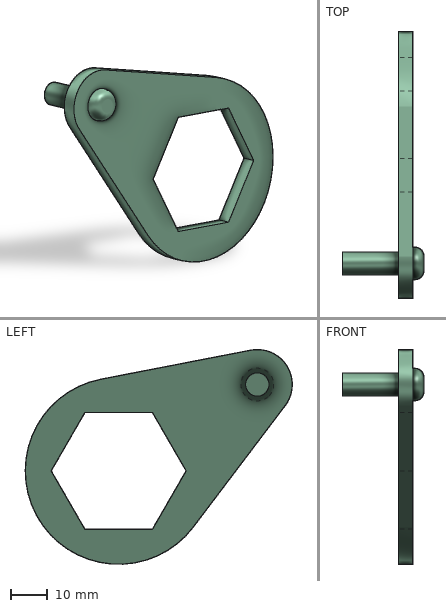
import cadquery as cq
import math

plate_thickness = 3.97
large_end_radius = 25.4
small_end_radius = 9.525
overall_y = 72.6
overall_z = 58.4
hex_across_flats = 31.7
hex_sides = 6

pin_diameter = 6.35
head_diameter = 8.89
head_height = 3.05
head_edge_radius = 2.54
overall_x = 22.23
pin_length = overall_x - plate_thickness - head_height

pin_y = -(overall_y - large_end_radius - small_end_radius)
pin_z = overall_z - large_end_radius - small_end_radius


def point_on_circle(center_y, center_z, radius, angle):
    return (center_y + radius * math.cos(angle), center_z + radius * math.sin(angle))


def make_plate():
    center_distance = math.hypot(pin_y, pin_z)
    axis_angle = math.atan2(pin_z, pin_y)
    tangent_angle = math.acos((large_end_radius - small_end_radius) / center_distance)
    start_angle = axis_angle - tangent_angle
    end_angle = axis_angle + tangent_angle
    outline = (
        cq.Workplane("YZ")
        .moveTo(*point_on_circle(0, 0, large_end_radius, start_angle))
        .lineTo(*point_on_circle(pin_y, pin_z, small_end_radius, start_angle))
        .threePointArc(
            point_on_circle(pin_y, pin_z, small_end_radius, axis_angle),
            point_on_circle(pin_y, pin_z, small_end_radius, end_angle),
        )
        .lineTo(*point_on_circle(0, 0, large_end_radius, end_angle))
        .threePointArc(
            point_on_circle(0, 0, large_end_radius, axis_angle + math.pi),
            point_on_circle(0, 0, large_end_radius, start_angle),
        )
        .close()
    )
    return outline.extrude(plate_thickness)


def make_hex_opening():
    across_corners = hex_across_flats / math.cos(math.pi / hex_sides)
    return cq.Workplane("YZ").polygon(hex_sides, across_corners).extrude(plate_thickness)


def make_pin():
    return (
        cq.Workplane("YZ", origin=(-pin_length, pin_y, pin_z))
        .circle(pin_diameter / 2)
        .extrude(pin_length + plate_thickness)
    )


def make_head():
    return (
        cq.Workplane("YZ", origin=(plate_thickness, pin_y, pin_z))
        .circle(head_diameter / 2)
        .extrude(head_height)
        .faces(">X")
        .edges()
        .fillet(head_edge_radius)
    )


result = make_plate().cut(make_hex_opening()).union(make_pin()).union(make_head())